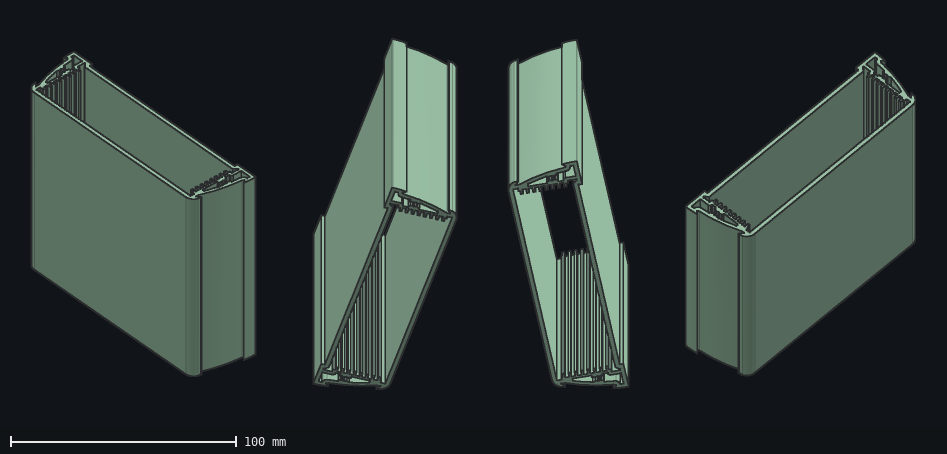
import cadquery as cq
import math

width = 121.0
depth = 32.8
height = 100.0

wall = 2.2

cap_width = 12.3
cap_step = 1.7
cap_skin = 1.9
cap_side = 2.0
cap_corner_radius = 0.2
cap_lip_inset = 0.5
cap_lip_depth = 6.9
cap_side_mid_inset = 0.1
cap_groove_depth = 5.3
cap_groove_outer = 1.6
cap_groove_inner = 1.9
hollow_corner_depth = 3.4
hollow_bend = (3.3, 3.9)
plate_bevel_start = 9.8
plate_bevel_end = 11.3
plate_inner = cap_step + wall
front_inner = depth - wall

column_inner = 9.3
column_rib_face = 10.2
column_thin_face = 9.0
column_thick_face = 7.6
column_bevel_depth = 6.8
column_ledge_inset = 8.2
column_ledge_depth = 7.7
shoulder_inset = 10.6
shoulder_top = 5.9
shoulder_bottom = 28.4

rib_count = 8
rib_thickness = 1.1
rib_first = 7.5
rib_last = 27.2
rib_pitch = (rib_last - rib_first) / (rib_count - 1)

arm_radius = 75.0
arm_thickness = 1.8
arm_root_thickness = 1.9
arm_centre = 77.1
arm_top = 6.3
arm_bottom = 27.6
arm_root_depth = 5.1
hollow_bottom = 23.7

corner_radius = 4.8
corner_inset = 10.2
corner_end_angle = 20
hook_root_inset = 5.5
hook_root_depth = 28.1
hook_tip_inset = 5.1
hook_tip_depth = 27.6
hook_tip_width = 0.5
hook_groove_inset = 7.4
hook_groove_depth = 29.2

channel_top = 10.2
channel_bottom = 15.1
tooth_crest_depths = (11.7, 13.7)
tooth_half_height = 0.7
arm_tooth_root = 5.6
arm_tooth_crest = 5.9
pad_face = 8.0
pad_tooth_crest = 7.5


def at(inset, below_back):
    """Point of the left half of the section."""
    return (inset - width / 2, depth - below_back)


def on_arm(below_back, radius):
    """Point of an arm face at the given depth."""
    return at(arm_centre - math.sqrt(radius**2 - below_back**2), below_back)


def block(inset_a, inset_b, depth_a, depth_b):
    """Full-height rectangular bar of the section."""
    corners = [
        at(inset_a, depth_a),
        at(inset_b, depth_a),
        at(inset_b, depth_b),
        at(inset_a, depth_b),
    ]
    return cq.Workplane("XY").polyline(corners).close().extrude(height)


def end_body():
    """Left end of the section without its hollow: cap, column, arm and front corner."""
    room_side = [
        at(cap_width, 0),
        at(cap_width, plate_inner),
        at(plate_bevel_end, plate_inner),
        at(plate_bevel_start, cap_skin),
        at(column_inner, cap_skin),
        at(column_inner, shoulder_top),
        at(shoulder_inset, shoulder_top),
        at(shoulder_inset, rib_first),
        at(column_rib_face, rib_first),
        at(column_rib_face, rib_last),
        at(shoulder_inset, rib_last),
        at(shoulder_inset, shoulder_bottom),
        at(column_inner, shoulder_bottom),
        at(column_inner, front_inner),
        at(corner_inset, front_inner),
        at(corner_inset, depth),
    ]
    corner_axis = depth - corner_radius

    def on_corner(degrees):
        """Point of the corner arc, measured from its leftmost point toward the front face."""
        angle = math.radians(degrees)
        return at(
            corner_inset - corner_radius * math.cos(angle),
            corner_axis + corner_radius * math.sin(angle),
        )

    front_hook = [
        at(hook_root_inset, hook_root_depth),
        at(hook_tip_inset, hook_tip_depth),
        at(hook_tip_inset + hook_tip_width, hook_tip_depth),
        at(hook_groove_inset, hook_groove_depth),
        on_arm(arm_bottom, arm_radius),
    ]
    cap_hook = [
        at(cap_groove_inner, cap_groove_depth),
        at(cap_groove_outer, cap_groove_depth),
        at(cap_lip_inset, cap_lip_depth),
    ]
    return (
        cq.Workplane("XY")
        .polyline([at(cap_corner_radius, 0)] + room_side)
        .threePointArc(on_corner(45), on_corner(corner_end_angle))
        .polyline(front_hook, includeCurrent=True)
        .threePointArc(
            on_arm((arm_top + arm_bottom) / 2, arm_radius),
            on_arm(arm_top, arm_radius),
        )
        .polyline(cap_hook, includeCurrent=True)
        .threePointArc(at(cap_side_mid_inset, cap_lip_depth / 2), at(0, cap_corner_radius))
        .radiusArc(at(cap_corner_radius, 0), cap_corner_radius)
        .close()
        .extrude(height)
    )


def teeth(root, crest):
    """Points of the serrations on one flank of the screw channel, back to front."""
    points = []
    for centre in tooth_crest_depths:
        points.append(at(root, centre - tooth_half_height))
        points.append(at(crest, centre))
        points.append(at(root, centre + tooth_half_height))
    return points


def hollow():
    """Cavity between the column and the arm, narrowed by the screw channel."""
    root_radius = arm_radius - arm_root_thickness
    inner_radius = arm_radius - arm_thickness
    arm_flank = [at(arm_tooth_root, channel_top)]
    arm_flank += teeth(arm_tooth_root, arm_tooth_crest)
    arm_flank.append(on_arm(channel_bottom, inner_radius))
    pad_flank = [at(pad_face, channel_top)]
    pad_flank += teeth(pad_face, pad_tooth_crest)
    pad_flank.append(at(pad_face, channel_bottom))
    column_side = [
        at(column_thin_face, hollow_bottom),
        at(column_thin_face, channel_bottom),
        *reversed(pad_flank),
        at(column_thin_face, channel_top),
        at(column_thin_face, column_ledge_depth),
        at(column_ledge_inset, column_ledge_depth),
        at(column_thick_face, column_bevel_depth),
        at(column_thick_face, cap_skin),
        at(cap_side, cap_skin),
        at(cap_side, hollow_corner_depth),
    ]
    return (
        cq.Workplane("XY")
        .moveTo(*at(cap_side, hollow_corner_depth))
        .threePointArc(at(*hollow_bend), on_arm(arm_root_depth, root_radius))
        .lineTo(*on_arm(channel_top, root_radius))
        .polyline(arm_flank, includeCurrent=True)
        .threePointArc(
            on_arm((channel_bottom + hollow_bottom) / 2, inner_radius),
            on_arm(hollow_bottom, inner_radius),
        )
        .polyline(column_side, includeCurrent=True)
        .close()
        .extrude(height)
    )


left_end = end_body().cut(hollow())
for index in range(rib_count):
    rib_centre = rib_first + index * rib_pitch
    left_end = left_end.union(
        block(
            column_inner,
            cap_width,
            rib_centre - rib_thickness / 2,
            rib_centre + rib_thickness / 2,
        )
    )

back_plate = block(plate_bevel_end, width - plate_bevel_end, cap_step, plate_inner)
front_plate = block(corner_inset, width - corner_inset, front_inner, depth)

result = left_end.union(left_end.mirror("YZ")).union(back_plate).union(front_plate)